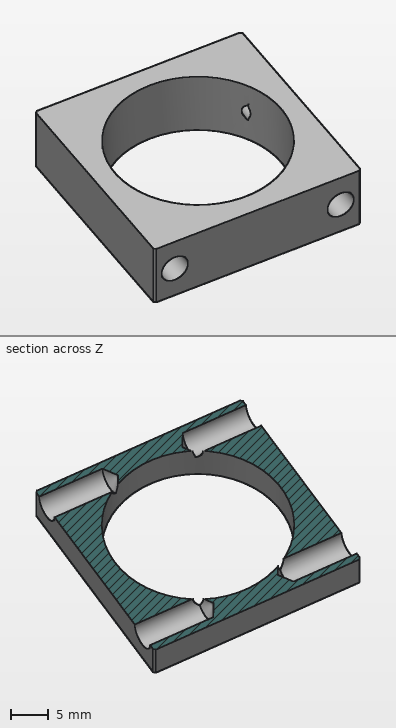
import cadquery as cq
import math

side = 31.62
height = 9.52
bore_diameter = 25.42
corner_chamfer = 0.3

hole_diameter = 4.0
hole_depth = 9.68
tip_angle = 118.0
hole_offset = 12.68

hole_radius = hole_diameter / 2
tip_length = hole_radius / math.tan(math.radians(tip_angle / 2))


def make_block():
    block = cq.Workplane("XY").box(side, side, height)
    block = block.edges("|Z").chamfer(corner_chamfer)
    return block.faces(">Z").workplane().hole(bore_diameter)


def drilled_hole(x_sign, y_sign):
    """Cone-tipped cutter entering from one X face toward the middle."""
    entry = cq.Vector(x_sign * side / 2, y_sign * hole_offset, 0)
    inward = cq.Vector(-x_sign, 0, 0)
    shank = cq.Solid.makeCylinder(hole_radius, hole_depth, entry, inward)
    tip_start = entry + inward * hole_depth
    tip = cq.Solid.makeCone(hole_radius, 0, tip_length, tip_start, inward)
    return shank.fuse(tip)


result = make_block()
for x_sign in (-1, 1):
    for y_sign in (-1, 1):
        result = result.cut(drilled_hole(x_sign, y_sign))